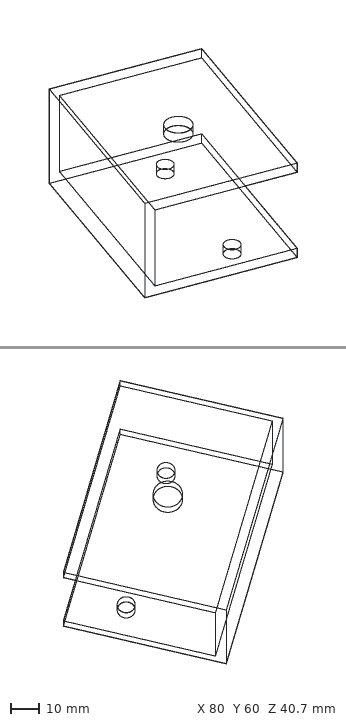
import cadquery as cq

length = 80
depth = 60
height = 40.7
wall = 4

top_hole_diameter = 10.5
top_hole_y = wall / 2

bottom_hole_diameter = 6.4
bottom_hole_end_distance = 12
bottom_hole_edge_distance = 20
bottom_hole_x = length / 2 - bottom_hole_end_distance
bottom_hole_y = depth / 2 - bottom_hole_edge_distance


def flange_drill(x, y, bottom_z, diameter):
    """Vertical cylinder that passes through one flange."""
    return cq.Workplane("XY", origin=(x, y, bottom_z)).circle(diameter / 2).extrude(wall)


outer_block = cq.Workplane("XY").box(length, depth, height)
channel_space = cq.Workplane("XY").box(length, depth - wall, height - 2 * wall).translate((0, wall / 2, 0))
channel = outer_block.cut(channel_space)

top_drill = flange_drill(0, top_hole_y, height / 2 - wall, top_hole_diameter)
result = channel.cut(top_drill)
for hole_x in (-bottom_hole_x, bottom_hole_x):
    result = result.cut(flange_drill(hole_x, bottom_hole_y, -height / 2, bottom_hole_diameter))